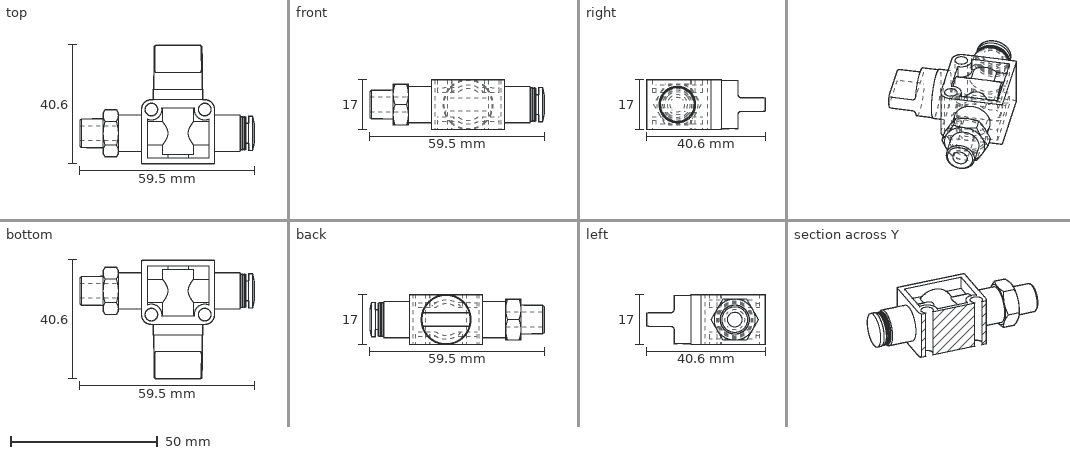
import cadquery as cq
import math


OVERALL_LENGTH = 59.5

BODY_WIDTH = 25.0
BODY_THICKNESS = 17.0
BODY_BOTTOM = -10.5
BODY_TOP = 11.5
BODY_CORNER_RADIUS = 3.4
BODY_EDGE_RADIUS = 0.5

WALL = 2.0
TOP_WALL = 2.85
WEB_THICKNESS = 8.35
STEM_HOUSING_DIAMETER = 13.4
STEM_HOUSING_BOTTOM = -7.25
STEM_FOOT_DIAMETER = 10.9
PORT_HOUSING_DIAMETER = 11.5

HOLE_DIAMETER = 4.2
HOLE_BOSS_RADIUS = 3.55

PORT_DIAMETER = 12.5

THREAD_END = -33.5
NUT_START = -25.5
NUT_END = -20.35
NUT_ACROSS_FLATS = 14.0
NUT_CHAMFER_ANGLE = 30.0
THREAD_TIP_DIAMETER = 9.8
THREAD_ROOT_DIAMETER = 10.0
THREAD_CHAMFER = 0.55
BORE_DIAMETER = 5.0

PORT_END = 21.35
PORT_CHAMFER_LENGTH = 0.25
RING_START = 21.55
RING_WIDTH = 0.5
RING_PITCH = 0.9
RING_COUNT = 2
RING_DIAMETER = 11.5
SLEEVE_DIAMETER = 11.05
SLEEVE_END = 23.15
NECK_DIAMETER = 6.85
HEAD_START = 24.1
HEAD_DIAMETER = 11.8
HEAD_RIM_END = 25.4
HEAD_CHAMFER_END = 25.5
HEAD_CHAMFER = 0.4
HEAD_END = THREAD_END + OVERALL_LENGTH
HEAD_FACE_DIAMETER = 6.55

COLLAR_DIAMETER = 17.0
COLLAR_END = 15.0
HANDLE_BASE_DIAMETER = 16.6
HANDLE_TIP_DIAMETER = 16.5
HANDLE_SHOULDER = 20.7
HANDLE_END = 30.05
BLADE_THICKNESS = 4.75
BLADE_ROOT_RADIUS = 1.0
BLADE_TIP_LENGTH = 0.9
BLADE_TIP_DROP = 0.2


def cylinder_x(diameter, start, end):
    return cq.Workplane("YZ", origin=(start, 0, 0)).circle(diameter / 2).extrude(end - start)


def cylinder_y(diameter, start, end):
    return cq.Workplane("XZ", origin=(0, start, 0)).circle(diameter / 2).extrude(start - end)


def revolve_x(profile):
    """Solid of revolution about X from (x, radius) points."""
    points = [(profile[0][0], 0)] + profile + [(profile[-1][0], 0)]
    return cq.Workplane("XY").polyline(points).close().revolve(360, (0, 0, 0), (1, 0, 0))


def block(x_range, y_range, thickness):
    """Box given by its X and Y limits, centred on Z = 0."""
    size_x = x_range[1] - x_range[0]
    size_y = y_range[1] - y_range[0]
    centre = (sum(x_range) / 2, sum(y_range) / 2, 0)
    return cq.Workplane("XY").box(size_x, size_y, thickness).translate(centre)


def make_body():
    half = BODY_WIDTH / 2
    body = block((-half, half), (BODY_BOTTOM, BODY_TOP), BODY_THICKNESS)
    body = body.edges("|Z and >Y").fillet(BODY_CORNER_RADIUS)
    body = body.edges("|Z and <Y").fillet(BODY_EDGE_RADIUS)

    hole_x = half - BODY_CORNER_RADIUS
    hole_y = BODY_TOP - BODY_CORNER_RADIUS
    hole_points = [(-hole_x, hole_y), (hole_x, hole_y)]
    through = cq.Workplane("XY", origin=(0, 0, -BODY_THICKNESS / 2)).pushPoints(hole_points)
    bosses = through.circle(HOLE_BOSS_RADIUS).extrude(BODY_THICKNESS)
    holes = through.circle(HOLE_DIAMETER / 2).extrude(BODY_THICKNESS)

    inner = half - WALL
    inner_bottom = BODY_BOTTOM + WALL
    inner_top = BODY_TOP - TOP_WALL
    pockets = block((-inner, inner), (inner_bottom, inner_top), BODY_THICKNESS)
    web = block((-inner, inner), (inner_bottom, inner_top), WEB_THICKNESS)
    pockets = (
        pockets.cut(web)
        .cut(cylinder_x(PORT_HOUSING_DIAMETER, -inner, inner))
        .cut(cylinder_y(STEM_HOUSING_DIAMETER, STEM_HOUSING_BOTTOM, inner_top))
        .cut(cylinder_y(STEM_FOOT_DIAMETER, inner_bottom, STEM_HOUSING_BOTTOM))
        .cut(bosses)
    )
    return body.cut(pockets).cut(holes)


def make_nut():
    length = NUT_END - NUT_START
    corner_diameter = NUT_ACROSS_FLATS / math.cos(math.pi / 6)
    hexagon = cq.Workplane("YZ", origin=(NUT_START, 0, 0)).polygon(6, corner_diameter).extrude(length)
    chamfer = (corner_diameter - NUT_ACROSS_FLATS) / 2
    chamfer_length = chamfer * math.tan(math.radians(NUT_CHAMFER_ANGLE))
    envelope = revolve_x([
        (NUT_START, NUT_ACROSS_FLATS / 2),
        (NUT_START + chamfer_length, corner_diameter / 2),
        (NUT_END - chamfer_length, corner_diameter / 2),
        (NUT_END, NUT_ACROSS_FLATS / 2),
    ])
    return hexagon.intersect(envelope)


def make_threaded_end():
    tip_radius = THREAD_TIP_DIAMETER / 2
    thread = revolve_x([
        (THREAD_END, tip_radius - THREAD_CHAMFER),
        (THREAD_END + THREAD_CHAMFER, tip_radius),
        (NUT_START, THREAD_ROOT_DIAMETER / 2),
    ])
    port = cylinder_x(PORT_DIAMETER, NUT_END, -BODY_WIDTH / 2)
    bore = cylinder_x(BORE_DIAMETER, THREAD_END, NUT_END)
    return thread.union(make_nut()).union(port).cut(bore)


def make_push_in_end():
    radius = PORT_DIAMETER / 2
    sleeve_radius = SLEEVE_DIAMETER / 2
    port = revolve_x([
        (BODY_WIDTH / 2, radius),
        (PORT_END - PORT_CHAMFER_LENGTH, radius),
        (PORT_END, sleeve_radius),
        (SLEEVE_END, sleeve_radius),
    ])
    for index in range(RING_COUNT):
        start = RING_START + index * RING_PITCH
        port = port.union(cylinder_x(RING_DIAMETER, start, start + RING_WIDTH))
    neck = cylinder_x(NECK_DIAMETER, SLEEVE_END, HEAD_START)
    head = revolve_x([
        (HEAD_START, HEAD_DIAMETER / 2),
        (HEAD_RIM_END, HEAD_DIAMETER / 2),
        (HEAD_CHAMFER_END, HEAD_DIAMETER / 2 - HEAD_CHAMFER),
        (HEAD_END, HEAD_FACE_DIAMETER / 2),
    ])
    return port.union(neck).union(head)


def make_handle():
    collar = cylinder_y(COLLAR_DIAMETER, BODY_TOP, COLLAR_END)
    grip = (
        cq.Workplane("XY")
        .moveTo(0, COLLAR_END)
        .lineTo(HANDLE_BASE_DIAMETER / 2, COLLAR_END)
        .lineTo(HANDLE_TIP_DIAMETER / 2, HANDLE_END)
        .lineTo(0, HANDLE_END)
        .close()
        .revolve(360, (0, 0, 0), (0, 1, 0))
        .edges(">Y")
        .fillet(BLADE_TIP_LENGTH)
    )
    half_width = HANDLE_BASE_DIAMETER / 2
    half_blade = BLADE_THICKNESS / 2
    side = (
        cq.Workplane("YZ", origin=(-half_width, 0, 0))
        .moveTo(COLLAR_END, -half_width)
        .lineTo(HANDLE_SHOULDER, -half_width)
        .lineTo(HANDLE_SHOULDER, -half_blade - BLADE_ROOT_RADIUS)
        .radiusArc((HANDLE_SHOULDER + BLADE_ROOT_RADIUS, -half_blade), BLADE_ROOT_RADIUS)
        .lineTo(HANDLE_END - BLADE_TIP_LENGTH, -half_blade)
        .lineTo(HANDLE_END, -half_blade + BLADE_TIP_DROP)
        .lineTo(HANDLE_END, half_blade - BLADE_TIP_DROP)
        .lineTo(HANDLE_END - BLADE_TIP_LENGTH, half_blade)
        .lineTo(HANDLE_SHOULDER + BLADE_ROOT_RADIUS, half_blade)
        .radiusArc((HANDLE_SHOULDER, half_blade + BLADE_ROOT_RADIUS), BLADE_ROOT_RADIUS)
        .lineTo(HANDLE_SHOULDER, half_width)
        .lineTo(COLLAR_END, half_width)
        .close()
        .extrude(HANDLE_BASE_DIAMETER)
    )
    return collar.union(grip.intersect(side))


result = make_body().union(make_threaded_end()).union(make_push_in_end()).union(make_handle())